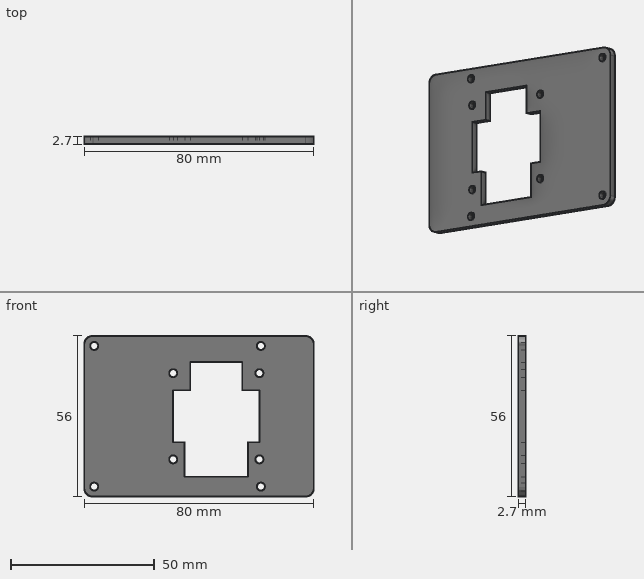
import cadquery as cq

plate_width = 80.0
plate_thickness = 2.7
plate_height = 56.0
corner_radius = 3.0

hole_diameter = 2.7

mount_inset = 3.5
mount_spacing_x = 58.0
mount_spacing_z = plate_height - 2 * mount_inset
mount_center_x = -plate_width / 2 + mount_inset + mount_spacing_x / 2

window_center_x = 6.0
window_hole_spacing = 30.0

middle_width = window_hole_spacing
middle_half_height = 9.0
upper_width = 18.0
upper_top_z = 18.9
lower_width = 22.0
lower_bottom_z = -21.0


def through_block(width, bottom_z, top_z):
    """Block centred on the window that passes through the plate thickness."""
    return (
        cq.Workplane("XY")
        .box(width, plate_thickness, top_z - bottom_z)
        .translate((window_center_x, 0, (top_z + bottom_z) / 2))
    )


def hole_rectangle(center_x, spacing_x, spacing_z):
    """Four through-hole cylinders on the corners of a rectangle."""
    return (
        cq.Workplane("XZ")
        .center(center_x, 0)
        .rect(spacing_x, spacing_z, forConstruction=True)
        .vertices()
        .circle(hole_diameter / 2)
        .extrude(plate_thickness / 2, both=True)
    )


plate = (
    cq.Workplane("XY")
    .box(plate_width, plate_thickness, plate_height)
    .edges("|Y")
    .fillet(corner_radius)
)

window = (
    through_block(middle_width, -middle_half_height, middle_half_height)
    .union(through_block(upper_width, 0, upper_top_z))
    .union(through_block(lower_width, lower_bottom_z, 0))
)

mount_holes = hole_rectangle(mount_center_x, mount_spacing_x, mount_spacing_z)
window_holes = hole_rectangle(window_center_x, window_hole_spacing, window_hole_spacing)

result = plate.cut(window).cut(mount_holes).cut(window_holes)